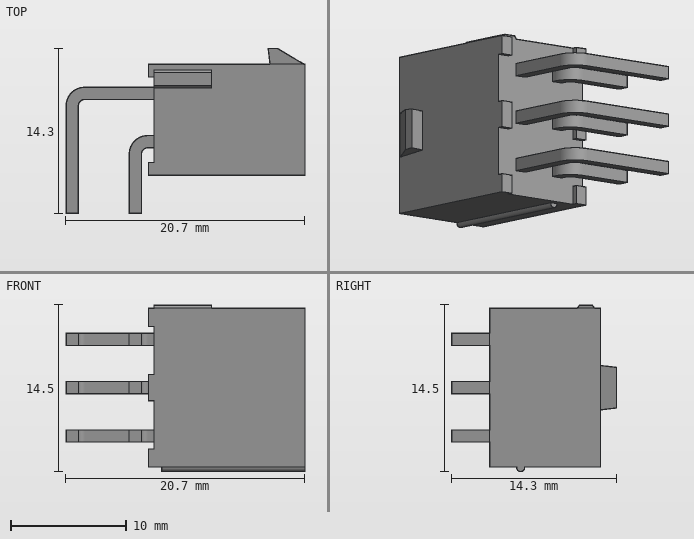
import cadquery as cq


mating_face_x = 20.73
wall_length = 13.12
housing_depth = 9.64
housing_height = 13.79
back_wall_x = mating_face_x - wall_length
top_z = housing_height / 2
bottom_z = -top_z

pad_thickness = 0.48
pad_width = 1.12
corner_pad_height = 1.6
middle_pad_height = 2.3

pin_size = 1.08
pin_pitch = 4.19
pin_inner_radius = 0.54
pin_tip_y = -3.3
outer_row_y = 7.11
outer_row_x = pin_size / 2
inner_row_y = outer_row_y - pin_pitch
inner_row_x = 6.01

key_length = 5.02
key_base_width = 1.53
key_height = 0.27
key_slope_run = 0.2
key_offset = 0.52

round_rib_radius = 0.35
round_rib_height = 0.4
round_rib_length = 12.44
round_rib_y = 2.7

latch_height = 1.37
latch_base_length = 3.05
latch_back_length = 3.21
latch_front_gap = 0.08
latch_crest_length = 2.38
latch_back_width = 3.42
latch_front_width = 3.88


def box(x_start, y_start, z_start, length, depth, height):
    """Box placed by its lowest corner."""
    return cq.Workplane("XY").box(length, depth, height, centered=False).translate((x_start, y_start, z_start))


def make_housing():
    return box(back_wall_x, 0, bottom_z, wall_length, housing_depth, housing_height)


def make_pads():
    """Two columns of three pads, flush with the housing outline."""
    pad_rows = [
        (bottom_z, corner_pad_height),
        (-middle_pad_height / 2, middle_pad_height),
        (top_z - corner_pad_height, corner_pad_height),
    ]
    pads = cq.Workplane("XY")
    for y_start in (0, housing_depth - pad_width):
        for z_start, height in pad_rows:
            pads = pads.add(
                box(back_wall_x - pad_thickness, y_start, z_start, pad_thickness, pad_width, height)
            )
    return pads.combine()


def make_pin(leg_x, row_y, z):
    """Square pin leaving the back wall at row_y and bending down a leg centred on leg_x."""
    left = leg_x - pin_size / 2
    right = leg_x + pin_size / 2
    upper = row_y + pin_size / 2
    lower = row_y - pin_size / 2
    bend_x = right + pin_inner_radius
    bend_y = lower - pin_inner_radius
    outer_radius = pin_inner_radius + pin_size
    return (
        cq.Workplane("XY", origin=(0, 0, z - pin_size / 2))
        .moveTo(left, pin_tip_y)
        .lineTo(left, bend_y)
        .radiusArc((bend_x, upper), outer_radius)
        .lineTo(back_wall_x, upper)
        .lineTo(back_wall_x, lower)
        .lineTo(bend_x, lower)
        .radiusArc((right, bend_y), -pin_inner_radius)
        .lineTo(right, pin_tip_y)
        .close()
        .extrude(pin_size)
    )


def make_key():
    outer_y = housing_depth - key_offset
    inner_y = outer_y - key_base_width
    key_top_z = top_z + key_height
    return (
        cq.Workplane("YZ", origin=(back_wall_x, 0, 0))
        .polyline([
            (inner_y, top_z),
            (outer_y, top_z),
            (outer_y - key_slope_run, key_top_z),
            (inner_y + key_slope_run, key_top_z),
        ])
        .close()
        .extrude(key_length)
    )


def make_round_rib():
    """Rib with short straight flanks and a half-round crown facing down."""
    flank_height = round_rib_height - round_rib_radius
    crown_start_z = bottom_z - flank_height
    left_y = round_rib_y - round_rib_radius
    right_y = round_rib_y + round_rib_radius
    return (
        cq.Workplane("YZ", origin=(mating_face_x - round_rib_length, 0, 0))
        .moveTo(left_y, bottom_z)
        .lineTo(left_y, crown_start_z)
        .threePointArc((round_rib_y, bottom_z - round_rib_height), (right_y, crown_start_z))
        .lineTo(right_y, bottom_z)
        .close()
        .extrude(round_rib_length)
    )


def make_latch():
    """Ramp profile whose width grows towards the mating face."""
    crest_y = housing_depth + latch_height
    back_x = mating_face_x - latch_back_length
    profile = (
        cq.Workplane("XY", origin=(0, 0, -latch_front_width / 2))
        .polyline([
            (mating_face_x - latch_front_gap, housing_depth),
            (mating_face_x - latch_crest_length, crest_y),
            (back_x, crest_y),
            (mating_face_x - latch_base_length, housing_depth),
        ])
        .close()
        .extrude(latch_front_width)
    )
    plan = (
        cq.Workplane("XZ", origin=(0, housing_depth, 0))
        .polyline([
            (back_x, -latch_back_width / 2),
            (mating_face_x, -latch_front_width / 2),
            (mating_face_x, latch_front_width / 2),
            (back_x, latch_back_width / 2),
        ])
        .close()
        .extrude(-latch_height)
    )
    return profile.intersect(plan)


result = make_housing().union(make_pads())
for pin_level in (-1, 0, 1):
    pin_z = pin_level * pin_pitch
    result = result.union(make_pin(outer_row_x, outer_row_y, pin_z))
    result = result.union(make_pin(inner_row_x, inner_row_y, pin_z))
result = result.union(make_key()).union(make_round_rib()).union(make_latch())